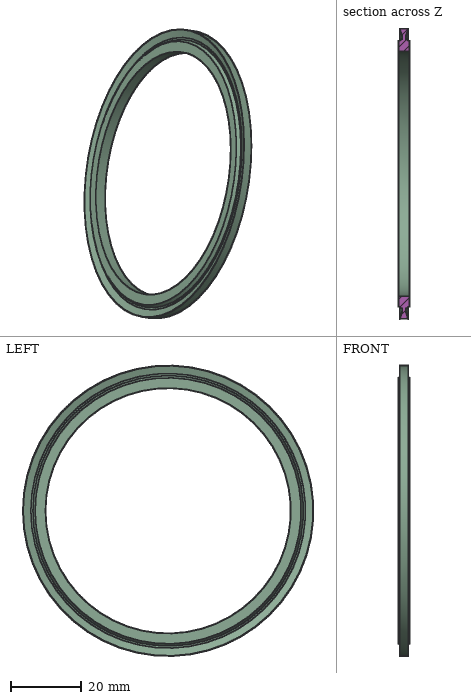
import cadquery as cq
inner_diameter = 69.7
outer_diameter = 82.7
band_diameter = 75.64
groove_inner_diameter = 76.9
groove_outer_diameter = 78.1

band_width = 3.2
groove_width = 1.0
rim_width = 2.5
rim_land = 0.12

rim_face_diameter = outer_diameter - 2 * rim_land


def face_profile():
    """Points (axial, radius) along one face, from the bore out to the rim."""
    return [
        (band_width / 2, inner_diameter / 2),
        (band_width / 2, band_diameter / 2),
        (groove_width / 2, groove_inner_diameter / 2),
        (groove_width / 2, groove_outer_diameter / 2),
        (rim_width / 2, rim_face_diameter / 2),
        (rim_width / 2, outer_diameter / 2),
    ]


def make_ring():
    """Revolve the section, mirrored about the YZ plane, around the X axis."""
    right_face = face_profile()
    left_face = [(-axial, radius) for axial, radius in reversed(right_face)]
    section = cq.Workplane("XY").polyline(right_face + left_face).close()
    return section.revolve(360, (0, 0, 0), (-1, 0, 0))


result = make_ring()